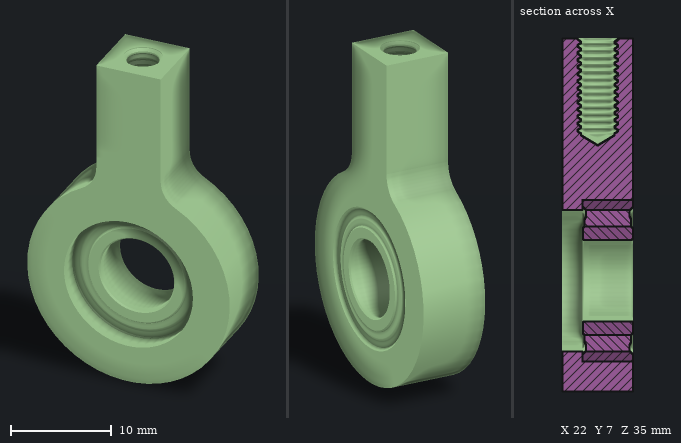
import cadquery as cq
import math

THICKNESS = 7.0
RING_RADIUS = 11.0
STEM_WIDTH = 7.0
STEM_TOP = 24.0
NECK_FILLET = 3.0

BEARING_BORE_RADIUS = 4.0
BEARING_RADIUS = 8.0
BEARING_WIDTH = 5.0
LIP_RADIUS = 7.0
RACE_CHAMFER = 0.15

INNER_RACE_RADIUS = 5.4
SHOULDER_CHAMFER = 0.2

OUTER_RACE_INNER_RADIUS = LIP_RADIUS
OUTER_RACE_CHAMFER = 0.3

SHIELD_RAISED_RADIUS = 6.08
SHIELD_RIM_RADIUS = 6.38
SHIELD_RAISED_RECESS = 0.18
SHIELD_RIM_RECESS = 0.33
SHIELD_STEP_FILLET = 0.2

THREAD_MAJOR_RADIUS = 2.0
THREAD_MINOR_RADIUS = 1.66
THREAD_PITCH = 0.7
THREAD_TURNS = 14
THREAD_CREST_WIDTH = THREAD_PITCH / 4
THREAD_ROOT_WIDTH = THREAD_PITCH / 8
DRILL_POINT_ANGLE = math.radians(118)

FRONT_Y = -THICKNESS / 2
BACK_Y = THICKNESS / 2
BEARING_FRONT_Y = BACK_Y - BEARING_WIDTH
BEARING_MID_Y = BACK_Y - BEARING_WIDTH / 2


def cylinder_along_y(radius, start_y, end_y):
    return cq.Workplane("XZ", origin=(0, start_y, 0)).circle(radius).extrude(start_y - end_y)


def revolve_about_bore(front_profile):
    """Revolve a (radius, y) outline and its mirror about the bearing's middle plane."""
    back_profile = [(radius, 2 * BEARING_MID_Y - y) for radius, y in reversed(front_profile)]
    outline = cq.Workplane("XY").polyline(front_profile + back_profile).close()
    return outline.revolve(360, (0, 0, 0), (0, 1, 0))


def make_threaded_hole():
    """Threaded hole as a stack of V grooves, ending in a drill point."""
    flank_height = (THREAD_PITCH - THREAD_CREST_WIDTH - THREAD_ROOT_WIDTH) / 2
    outline = [(0, STEM_TOP)]
    for turn in range(THREAD_TURNS):
        groove_top = STEM_TOP - turn * THREAD_PITCH
        root_end = groove_top - THREAD_ROOT_WIDTH
        crest_start = root_end - flank_height
        crest_end = crest_start - THREAD_CREST_WIDTH
        outline += [
            (THREAD_MAJOR_RADIUS, groove_top),
            (THREAD_MAJOR_RADIUS, root_end),
            (THREAD_MINOR_RADIUS, crest_start),
            (THREAD_MINOR_RADIUS, crest_end),
        ]
    drill_tip = crest_end - THREAD_MINOR_RADIUS / math.tan(DRILL_POINT_ANGLE / 2)
    outline.append((0, drill_tip))
    return cq.Workplane("XZ").polyline(outline).close().revolve(360, (0, 0, 0), (0, 1, 0))


def make_housing():
    ring = cylinder_along_y(RING_RADIUS, FRONT_Y, BACK_Y)
    stem = cq.Workplane("XY").rect(STEM_WIDTH, THICKNESS).extrude(STEM_TOP)
    neck_z = math.sqrt(RING_RADIUS**2 - (STEM_WIDTH / 2) ** 2)
    neck_corners = cq.selectors.BoxSelector(
        (-STEM_WIDTH, -THICKNESS, neck_z - 1), (STEM_WIDTH, THICKNESS, neck_z + 1)
    )
    body = ring.union(stem).edges("|Y").edges(neck_corners).fillet(NECK_FILLET)
    body = body.cut(cylinder_along_y(LIP_RADIUS, FRONT_Y, BACK_Y))
    body = body.cut(cylinder_along_y(BEARING_RADIUS, BEARING_FRONT_Y, BACK_Y))
    return body.cut(make_threaded_hole())


def make_inner_race():
    return revolve_about_bore([
        (BEARING_BORE_RADIUS, BEARING_FRONT_Y + RACE_CHAMFER),
        (BEARING_BORE_RADIUS + RACE_CHAMFER, BEARING_FRONT_Y),
        (INNER_RACE_RADIUS - SHOULDER_CHAMFER, BEARING_FRONT_Y),
        (INNER_RACE_RADIUS, BEARING_FRONT_Y + SHOULDER_CHAMFER),
    ])


def make_outer_race():
    return revolve_about_bore([
        (OUTER_RACE_INNER_RADIUS, BEARING_FRONT_Y + OUTER_RACE_CHAMFER),
        (OUTER_RACE_INNER_RADIUS + OUTER_RACE_CHAMFER, BEARING_FRONT_Y),
        (BEARING_RADIUS, BEARING_FRONT_Y),
    ])


def make_shield():
    """Shield filling the space between the races, raised next to the inner race."""
    blank = revolve_about_bore([
        (INNER_RACE_RADIUS, BEARING_FRONT_Y + SHIELD_RAISED_RECESS),
        (SHIELD_RAISED_RADIUS, BEARING_FRONT_Y + SHIELD_RAISED_RECESS),
        (SHIELD_RIM_RADIUS, BEARING_FRONT_Y + SHIELD_RIM_RECESS),
        (OUTER_RACE_INNER_RADIUS, BEARING_FRONT_Y + SHIELD_RIM_RECESS),
    ])
    step_edges = [
        edge for edge in blank.edges("%CIRCLE").vals()
        if INNER_RACE_RADIUS < edge.radius() - 0.1 and edge.radius() + 0.1 < OUTER_RACE_INNER_RADIUS
    ]
    return blank.newObject(step_edges).fillet(SHIELD_STEP_FILLET)


housing = make_housing()
inner_race = make_inner_race()
outer_race = make_outer_race()
shield = make_shield()

result = cq.Compound.makeCompound([
    housing.val(),
    inner_race.val(),
    outer_race.val(),
    shield.val(),
])